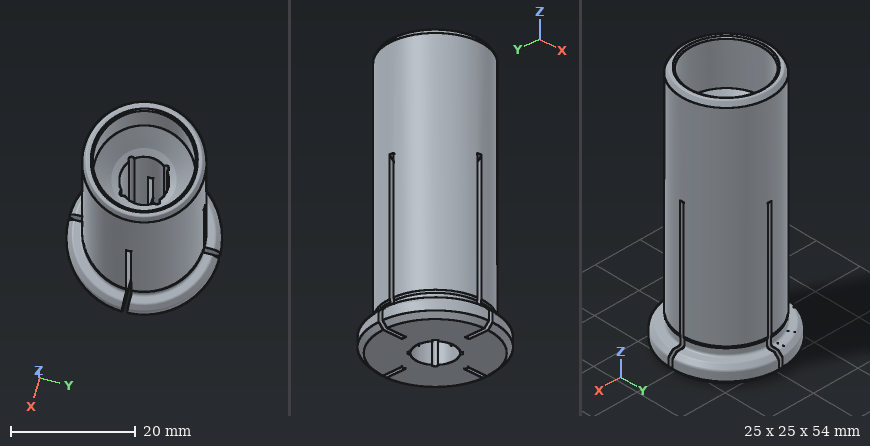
import cadquery as cq
import math

height = 54.0
tube_diameter = 20.0
flange_diameter = 25.0

flange_thickness = 4.0
flange_bottom_chamfer = 1.0
flange_top_chamfer = 0.95
groove_diameter = 19.65
groove_top = 5.65
groove_taper_height = 0.5
edge_rounding = 0.5
match_tolerance = 0.005

mouth_chamfer_width = 0.6
mouth_chamfer_height = 1.0
mouth_inner_chamfer = 0.3
mouth_rounding = 0.25

socket_diameter = 16.5
socket_floor = 44.0
seat_diameter = 10.5
bore_diameter = 8.0
seat_slope = 30

bore_groove_diameter = 0.95
bore_groove_count = 4
bore_groove_start_angle = 45

slot_width = 0.85
slot_outer_top = 32.5
slot_count = 4
slot_inner_bottom = 3.2
slot_inner_overlap = 1.1

tube_radius = tube_diameter / 2
flange_radius = flange_diameter / 2
groove_radius = groove_diameter / 2
bore_radius = bore_diameter / 2
socket_radius = socket_diameter / 2
seat_radius = seat_diameter / 2
seat_top = socket_floor - (socket_radius - seat_radius)
seat_bottom = seat_top - (seat_radius - bore_radius) * math.tan(math.radians(seat_slope))


def make_body():
    """Flanged tube with its stepped bore, revolved about Z."""
    flange_top_radius = flange_radius - flange_top_chamfer
    flange_side_top = flange_thickness - flange_top_chamfer
    mouth_radius = tube_radius - mouth_chamfer_width
    profile = [
        (bore_radius, 0),
        (flange_radius - flange_bottom_chamfer, 0),
        (flange_radius, flange_bottom_chamfer),
        (flange_radius, flange_side_top),
        (flange_top_radius, flange_thickness),
        (groove_radius, flange_thickness),
        (groove_radius, groove_top),
        (tube_radius, groove_top + groove_taper_height),
        (tube_radius, height - mouth_chamfer_height),
        (mouth_radius, height),
        (socket_radius + mouth_inner_chamfer, height),
        (socket_radius, height - mouth_inner_chamfer),
        (socket_radius, socket_floor),
        (seat_radius, seat_top),
        (bore_radius, seat_bottom),
    ]
    body = cq.Workplane("XZ").polyline(profile).close().revolve(360, (0, 0), (0, 1))
    rounded_circles = [
        (flange_radius, flange_side_top, edge_rounding),
        (flange_top_radius, flange_thickness, edge_rounding),
        (groove_radius, flange_thickness, edge_rounding),
        (mouth_radius, height, mouth_rounding),
    ]
    for radius, level, rounding in rounded_circles:
        circles = body.edges("%CIRCLE").filter(
            lambda edge: math.hypot(edge.radius() - radius, edge.Center().z - level) < match_tolerance
        )
        body = body.newObject(circles.vals()).fillet(rounding)
    return body


def make_bore_grooves():
    """Round grooves running the whole length of the bore and into its seat, midway between the slots."""
    return (
        cq.Workplane("XY")
        .polarArray(bore_radius, bore_groove_start_angle, 360, bore_groove_count)
        .circle(bore_groove_diameter / 2)
        .extrude(seat_top)
    )


def make_slot():
    """Radial slot on the +X side; both ends slope at 45 degrees, narrowing towards the bore."""
    inner_radius = bore_radius - slot_inner_overlap
    outline = [
        (inner_radius, slot_inner_bottom + slot_inner_overlap),
        (bore_radius + slot_inner_bottom, 0),
        (flange_radius, 0),
        (flange_radius, slot_outer_top + flange_radius - tube_radius),
        (inner_radius, slot_outer_top + inner_radius - tube_radius),
    ]
    slot = cq.Workplane("XZ").polyline(outline).close()
    return slot.extrude(slot_width / 2, both=True)


result = make_body().cut(make_bore_grooves())
for index in range(slot_count):
    result = result.cut(make_slot().rotate((0, 0, 0), (0, 0, 1), index * 360 / slot_count))